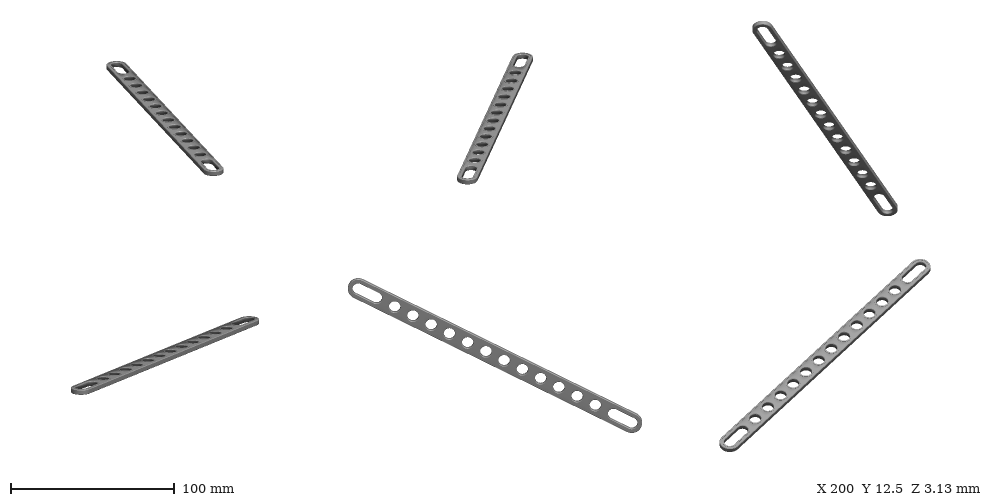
import cadquery as cq

length = 200.0
pitch_count = 16
pitch = length / pitch_count
width = pitch
thickness = pitch / 4

hole_diameter = 7.0
ring_diameter = 9.2
rim_width = (ring_diameter - hole_diameter) / 2
edge_chamfer = 0.3
recess_depth = 0.2

slot_pitches = 2
hole_count = pitch_count - 2 * slot_pitches
slot_center_distance = (slot_pitches - 1) * pitch
slot_spacing = length - slot_pitches * pitch


def hole_row(diameter, height):
    """Row of round posts along the middle of the strap, one per hole."""
    return (
        cq.Workplane("XY")
        .rarray(pitch, 2, hole_count, 1)
        .circle(diameter / 2)
        .extrude(height)
    )


def end_slots(slot_width, height):
    """Slot-shaped posts at both ends of the strap."""
    return (
        cq.Workplane("XY")
        .rarray(slot_spacing, 2, 2, 1)
        .slot2D(slot_center_distance + slot_width, slot_width)
        .extrude(height)
    )


def pierced_strap():
    """Round-ended strap with its holes and slots, chamfered on both faces."""
    strap = cq.Workplane("XY").slot2D(length, width).extrude(thickness)
    strap = strap.cut(hole_row(hole_diameter, thickness))
    strap = strap.cut(end_slots(hole_diameter, thickness))
    return strap.faces("<Z or >Z").chamfer(edge_chamfer)


def top_recess():
    """Shallow field inside the outer rim, leaving a ring round every opening."""
    field = (
        cq.Workplane("XY")
        .slot2D(length - 2 * rim_width, width - 2 * rim_width)
        .extrude(recess_depth)
    )
    field = field.cut(hole_row(ring_diameter, recess_depth))
    field = field.cut(end_slots(ring_diameter, recess_depth))
    return field.translate((0, 0, thickness - recess_depth))


result = pierced_strap().cut(top_recess())